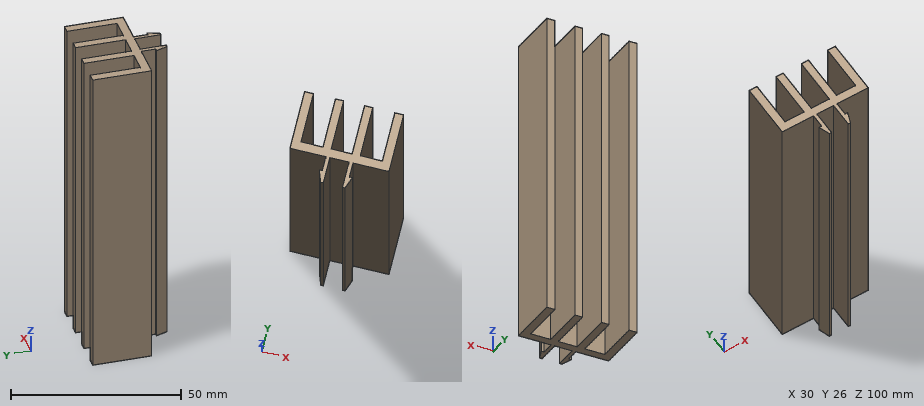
import cadquery as cq

length = 100.0
width = 30.0
total_depth = 26.0

body_depth = 18.0
base_thickness = 2.7
outer_fin_thickness = 2.7
inner_fin_thickness = 2.5
inner_fin_offset = 4.4

leg_inner_x = 2.9
leg_outer_x = 4.1
barb_x = 5.0
tip_x = 3.7
barb_drop = 4.4

base_y = total_depth / 2 - body_depth
fin_top_y = total_depth / 2
leg_tip_y = -total_depth / 2
barb_y = base_y - barb_drop


def extrude_block(x_min, x_max, y_min, y_max):
    """Full-length rectangular bar between the given limits."""
    return (
        cq.Workplane("XY", origin=(0, 0, -length / 2))
        .moveTo((x_min + x_max) / 2, (y_min + y_max) / 2)
        .rect(x_max - x_min, y_max - y_min)
        .extrude(length)
    )


def make_fin(center_x, thickness):
    """Fin rising from the underside of the base to the fin tips."""
    return extrude_block(center_x - thickness / 2, center_x + thickness / 2, base_y, fin_top_y)


def make_leg(side):
    """Barbed leg on the given side (-1 or +1), rooted inside the base plate."""
    root_y = base_y + base_thickness / 2
    outline = [
        (leg_inner_x, root_y),
        (leg_outer_x, root_y),
        (leg_outer_x, barb_y),
        (barb_x, barb_y),
        (tip_x, leg_tip_y),
        (leg_inner_x, leg_tip_y),
    ]
    return (
        cq.Workplane("XY", origin=(0, 0, -length / 2))
        .polyline([(side * x, y) for x, y in outline])
        .close()
        .extrude(length)
    )


result = extrude_block(-width / 2, width / 2, base_y, base_y + base_thickness)
outer_fin_offset = (width - outer_fin_thickness) / 2
for side in (-1, 1):
    result = result.union(make_fin(side * outer_fin_offset, outer_fin_thickness))
    result = result.union(make_fin(side * inner_fin_offset, inner_fin_thickness))
    result = result.union(make_leg(side))
result = result.clean()